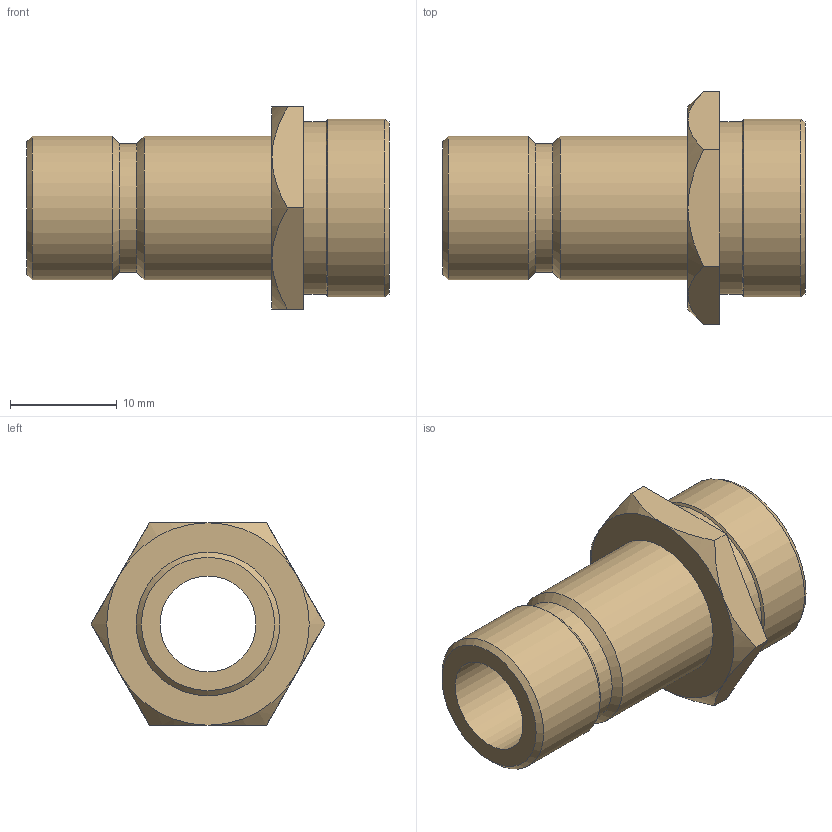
import cadquery as cq
import math

plug_radius = 6.75
nose_chamfer = 0.5
groove_radius = 6.05
groove_start = 8.0
groove_end = 11.0
groove_depth = plug_radius - groove_radius

hex_sides = 6
hex_start = 23.0
hex_thickness = 3.0
hex_across_flats = 19.0
hex_end = hex_start + hex_thickness

thread_major_diameter = 16.662
thread_radius = thread_major_diameter / 2
thread_step = 0.25
thread_start = 28.1
thread_start_flank_angle = 30
thread_tip_taper_angle = 30
thread_relief_radius = thread_radius - thread_step
thread_tip_radius = thread_radius - thread_step
thread_lead_in = thread_step * math.tan(math.radians(thread_start_flank_angle))
thread_tip_length = thread_step / math.tan(math.radians(thread_tip_taper_angle))
total_length = 34.0

bore_radius = 4.5


def revolve_about_x(profile):
    """Revolve a list of (x, radius) points, closed along the axis, about X."""
    start_x = profile[0][0]
    end_x = profile[-1][0]
    closed_profile = [(start_x, 0), *profile, (end_x, 0)]
    return cq.Workplane("XY").polyline(closed_profile).close().revolve(360, (0, 0, 0), (1, 0, 0))


def make_plug():
    """Chamfered nose with a flat-bottomed retaining groove between sloping flanks."""
    return revolve_about_x([
        (0, plug_radius - nose_chamfer),
        (nose_chamfer, plug_radius),
        (groove_start, plug_radius),
        (groove_start + groove_depth, groove_radius),
        (groove_end - groove_depth, groove_radius),
        (groove_end, plug_radius),
        (hex_end, plug_radius),
    ])


def make_hex_collar():
    """Hexagon whose corners are cut by a 45 degree cone on the plug side."""
    across_corners = hex_across_flats / math.cos(math.pi / hex_sides)
    hexagon = (
        cq.Workplane("YZ", origin=(hex_start, 0, 0))
        .polygon(hex_sides, across_corners)
        .extrude(hex_thickness)
    )
    inscribed_radius = hex_across_flats / 2
    corner_cone = revolve_about_x([
        (hex_start, inscribed_radius),
        (hex_end, inscribed_radius + hex_thickness),
    ])
    return hexagon.intersect(corner_cone)


def make_threaded_end():
    """Relief neck followed by the thread cylinder with its tapered tip."""
    return revolve_about_x([
        (hex_start, thread_relief_radius),
        (thread_start, thread_relief_radius),
        (thread_start + thread_lead_in, thread_radius),
        (total_length - thread_tip_length, thread_radius),
        (total_length, thread_tip_radius),
    ])


def make_bore():
    """Plain through bore."""
    return cq.Workplane("YZ").circle(bore_radius).extrude(total_length)


result = make_plug().union(make_hex_collar()).union(make_threaded_end()).cut(make_bore())